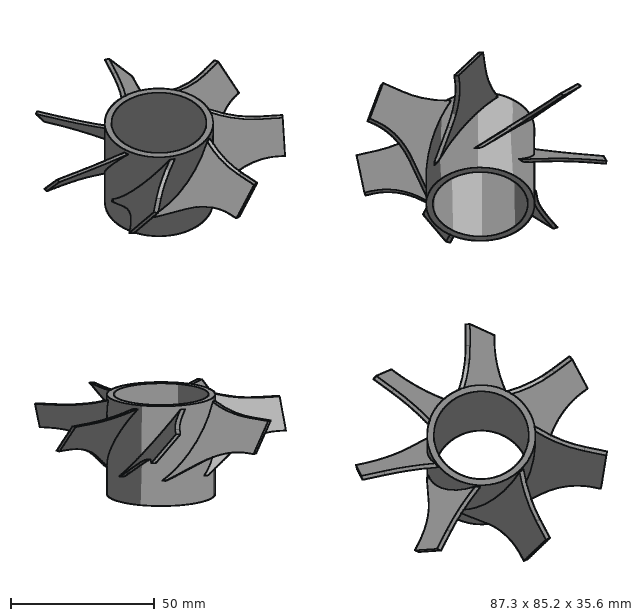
import cadquery as cq
import math

hub_radius = 18.8
bore_radius = 16.5
hub_height = 35.55

blade_count = 7
tip_distance = 43.6
blade_lean = 40.0
blade_thickness = 1.2
blade_center_z = 25.9
root_bottom_z = 9.15
root_top_z = 34.15
tip_bottom_z = 21.1
tip_top_z = 31.3

lower_slope = 33.0
lower_arc_radius = 32.7
lower_arc_end = 40.95
upper_arc_radius = 57.5
upper_arc_end = 35.6


def arc_point(end_distance, radius, angle):
    """Distance from the hub axis and height change along an arc that is level at end_distance."""
    return end_distance - radius * math.sin(angle), radius * (1 - math.cos(angle))


def make_hub():
    return cq.Workplane("XY").circle(hub_radius).extrude(hub_height)


def make_plate():
    """Inclined plate pointing along -Y, with level upper and lower ends."""
    lean = math.tan(math.radians(blade_lean))
    half_width = blade_thickness / math.cos(math.radians(blade_lean)) / 2
    bottom_x = (root_bottom_z - blade_center_z) * lean
    top_x = (root_top_z - blade_center_z) * lean
    return (
        cq.Workplane("XZ")
        .moveTo(bottom_x - half_width, root_bottom_z)
        .lineTo(bottom_x + half_width, root_bottom_z)
        .lineTo(top_x + half_width, root_top_z)
        .lineTo(top_x - half_width, root_top_z)
        .close()
        .extrude(tip_distance)
    )


def make_side_profile():
    """Solid whose YZ outline gives the blade its upper and lower edges."""
    slope = math.radians(lower_slope)
    lower_start, lower_drop = arc_point(lower_arc_end, lower_arc_radius, slope)
    lower_mid, mid_drop = arc_point(lower_arc_end, lower_arc_radius, slope / 2)
    lower_root_z = tip_bottom_z - lower_drop - lower_start * math.tan(slope)

    rise_angle = math.acos(1 - (root_top_z - tip_top_z) / upper_arc_radius)
    upper_root, upper_rise = arc_point(upper_arc_end, upper_arc_radius, rise_angle)
    upper_mid, mid_rise = arc_point(upper_arc_end, upper_arc_radius, rise_angle / 2)
    return (
        cq.Workplane("YZ")
        .moveTo(0, lower_root_z)
        .lineTo(-lower_start, tip_bottom_z - lower_drop)
        .threePointArc((-lower_mid, tip_bottom_z - mid_drop), (-lower_arc_end, tip_bottom_z))
        .lineTo(-tip_distance, tip_bottom_z)
        .lineTo(-tip_distance, tip_top_z)
        .lineTo(-upper_arc_end, tip_top_z)
        .threePointArc((-upper_mid, tip_top_z + mid_rise), (-upper_root, tip_top_z + upper_rise))
        .lineTo(0, root_top_z)
        .close()
        .extrude(hub_radius, both=True)
    )


blade = make_plate().intersect(make_side_profile())
rotor = make_hub()
for index in range(blade_count):
    angle = index * 360 / blade_count
    rotor = rotor.union(blade.rotate((0, 0, 0), (0, 0, 1), angle))

bore = cq.Workplane("XY").circle(bore_radius).extrude(hub_height)
result = rotor.cut(bore)